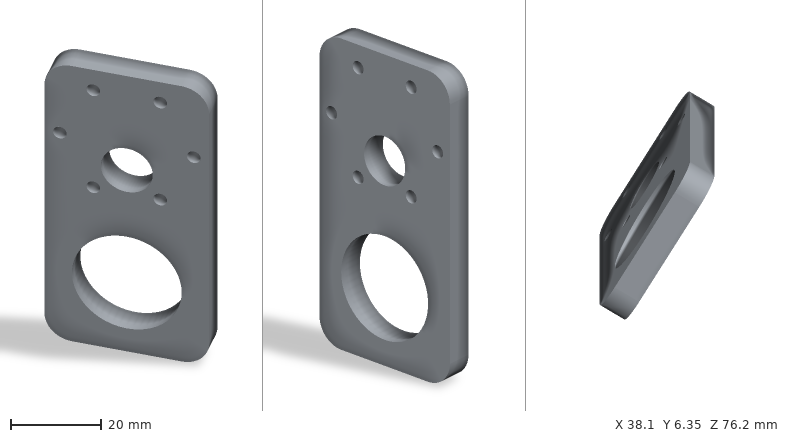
import cadquery as cq

width = 38.1
height = 2 * width
thickness = 6.35
corner_radius = 6.35

bore_diameter = 25.4
bore_z = -height / 4

motor_z = height / 4
screw_count = 6
screw_diameter = 3.175
screw_circle_diameter = 31.0
shaft_hole_diameter = 12.0
shaft_offset = 7.0


def make_plate():
    """Rectangular plate with its four corners rounded."""
    blank = cq.Workplane("XY").box(width, thickness, height)
    return blank.edges("|Y").fillet(corner_radius)


def through_holes_tool(diameter, z, circle_diameter=0.0, count=1):
    """Cylinders along Y: one at height z, or several on a circle centred there."""
    sketch = cq.Workplane("XZ").workplane(offset=-thickness / 2).center(0, z)
    if count > 1:
        sketch = sketch.polarArray(circle_diameter / 2, 0, 360, count)
    return sketch.circle(diameter / 2).extrude(thickness)


result = (
    make_plate()
    .cut(through_holes_tool(bore_diameter, bore_z))
    .cut(through_holes_tool(shaft_hole_diameter, motor_z - shaft_offset))
    .cut(through_holes_tool(screw_diameter, motor_z, screw_circle_diameter, screw_count))
)